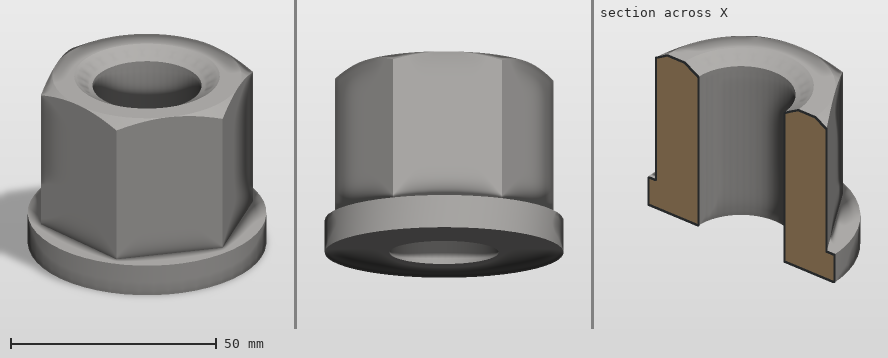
import cadquery as cq
import math

flange_diameter = 58.0
flange_thickness = 8.0
total_height = 45.0
across_flats = 46.0
bore_diameter = 26.5
countersink_diameter = 35.4
cone_slope = math.tan(math.radians(30))

across_corners = across_flats / math.cos(math.radians(30))
hex_height = total_height - flange_thickness
flat_radius = across_flats / 2
bore_radius = bore_diameter / 2
countersink_radius = countersink_diameter / 2
countersink_depth = (countersink_radius - bore_radius) * cone_slope


def make_hexagon():
    """Hexagonal body with flats facing +X and -X and its top corners turned to a cone."""
    hexagon = (
        cq.Workplane("XY")
        .workplane(offset=flange_thickness)
        .transformed(rotate=(0, 0, 30))
        .polygon(6, across_corners)
        .extrude(hex_height)
    )
    envelope_radius = flange_diameter / 2
    cone_drop = (envelope_radius - flat_radius) * cone_slope
    envelope = (
        cq.Workplane("XZ")
        .moveTo(0, 0)
        .lineTo(envelope_radius, 0)
        .lineTo(envelope_radius, total_height - cone_drop)
        .lineTo(flat_radius, total_height)
        .lineTo(0, total_height)
        .close()
        .revolve(360, (0, 0, 0), (0, 1, 0))
    )
    return hexagon.intersect(envelope)


def make_bore():
    """Through bore that opens into a conical countersink at the top."""
    return (
        cq.Workplane("XZ")
        .moveTo(0, 0)
        .lineTo(bore_radius, 0)
        .lineTo(bore_radius, total_height - countersink_depth)
        .lineTo(countersink_radius, total_height)
        .lineTo(0, total_height)
        .close()
        .revolve(360, (0, 0, 0), (0, 1, 0))
    )


flange = cq.Workplane("XY").circle(flange_diameter / 2).extrude(flange_thickness)
result = flange.union(make_hexagon()).cut(make_bore())